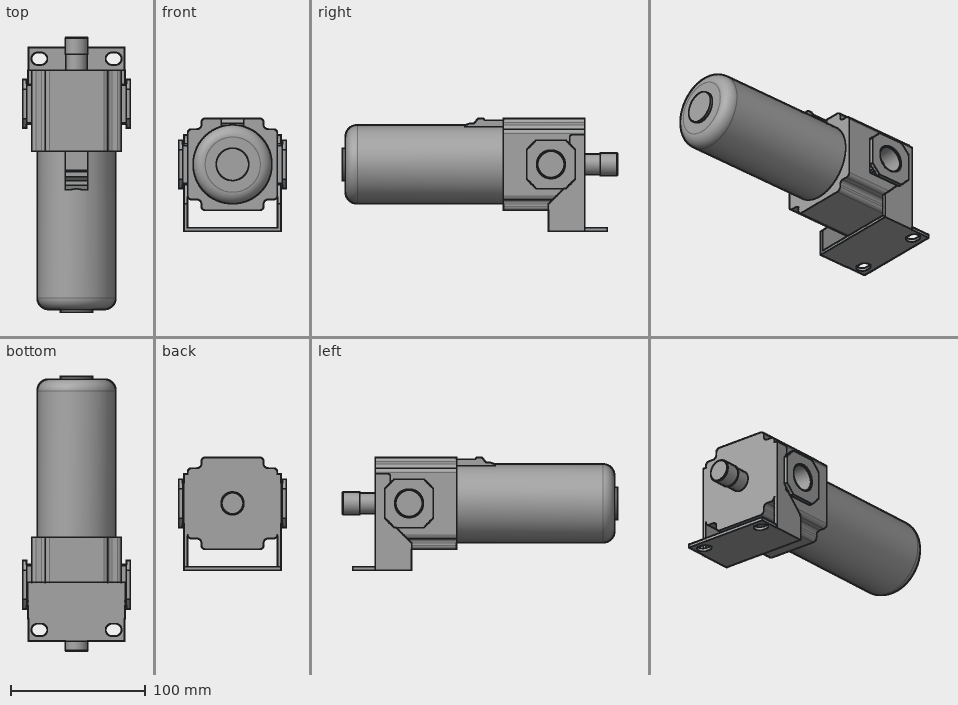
import cadquery as cq

total_length = 204.5
overall_width = 80.0
overall_height = 84.0
knob_back_y = 49.5
bowl_end_y = knob_back_y - total_length

body_back_y = 25.2
body_front_y = -35.4
body_width = 66.9
body_height = 68.5
body_length = body_back_y - body_front_y
raised_width = 46.5
shoulder_height = 52.5
body_edge_radius = 3.0

bowl_diameter = 58.7
bowl_edge_radius = 8.8
button_diameter = 24.1
button_height = 2.0

latch_width = 17.0
latch_top_z = 33.0
latch_ridge_z = body_height / 2
latch_step_z = 30.5
latch_tip_z = 29.0
latch_tip_y = -64.0
latch_ridge_start_y = -49.3
latch_ridge_end_y = -57.3
latch_rise_run = 1.2
latch_fall_run = 3.0
latch_step_end_y = -60.5

knob_diameter = 17.0
knob_length = 12.7
knob_chamfer = 0.6
stem_diameter = 15.7

flange_size = 36.2
flange_chamfer = 7.2
flange_thickness = 2.9
neck_size = 30.5
neck_chamfer = 1.2
bore_radius = 9.8
bore_depth = 16.4
bore_chamfer = 0.8

plate_thickness = 2.7
bracket_width = body_width + 2 * plate_thickness
bracket_bottom_z = body_height / 2 - overall_height
bracket_top_z = 21.9
tab_front_y = 14.1
leg_front_y = -1.8
leg_slope_z = -29.5
tab_corner_radius = 1.2
foot_width = 71.5
foot_back_y = 42.0
slot_length = 11.7
slot_width = 9.0
slot_x = 27.6
slot_y = 33.5


def cylinder(diameter, start_y, end_y):
    """Solid cylinder on the Y axis between two Y positions."""
    return cq.Workplane("XZ", origin=(0, start_y, 0)).circle(diameter / 2).extrude(start_y - end_y)


def make_body():
    section = cq.Workplane("XZ", origin=(0, body_back_y, 0))
    core = section.rect(body_width, shoulder_height).extrude(body_length)
    raised = section.rect(raised_width, body_height).extrude(body_length)
    return core.union(raised).edges("|Y").fillet(body_edge_radius)


def make_bowl():
    bowl_front_y = bowl_end_y + button_height
    bowl = cylinder(bowl_diameter, body_front_y, bowl_front_y)
    bowl = bowl.faces("<Y").edges().fillet(bowl_edge_radius)
    return bowl.union(cylinder(button_diameter, bowl_front_y, bowl_end_y))


def make_latch():
    profile = [
        (body_front_y, 0),
        (body_front_y, latch_top_z),
        (latch_ridge_start_y, latch_top_z),
        (latch_ridge_start_y - latch_rise_run, latch_ridge_z),
        (latch_ridge_end_y + latch_fall_run, latch_ridge_z),
        (latch_ridge_end_y, latch_step_z),
        (latch_step_end_y, latch_step_z),
        (latch_tip_y, latch_tip_z),
        (latch_tip_y, 0),
    ]
    return cq.Workplane("YZ").polyline(profile).close().extrude(latch_width / 2, both=True)


def make_knob():
    stem_back_y = knob_back_y - knob_length
    knob = cylinder(knob_diameter, knob_back_y, stem_back_y).faces(">Y").chamfer(knob_chamfer)
    return knob.union(cylinder(stem_diameter, stem_back_y, body_back_y))


def make_port():
    """Flanged port on the +X side."""
    flange_inner_x = overall_width / 2 - flange_thickness
    neck = cq.Workplane("YZ").rect(neck_size, neck_size).extrude(flange_inner_x)
    neck = neck.edges("|X").chamfer(neck_chamfer)
    flange = cq.Workplane("YZ", origin=(flange_inner_x, 0, 0)).rect(flange_size, flange_size)
    flange = flange.extrude(flange_thickness).edges("|X").chamfer(flange_chamfer)
    return neck.union(flange)


def make_bore():
    """Blind bore of the +X port with a chamfered mouth."""
    face_x = overall_width / 2
    bore = cq.Workplane("YZ", origin=(face_x, 0, 0)).circle(bore_radius).extrude(-bore_depth)
    mouth = cq.Workplane("YZ", origin=(face_x, 0, 0)).circle(bore_radius + bore_chamfer)
    mouth = mouth.workplane(offset=-bore_chamfer).circle(bore_radius).loft()
    return bore.union(mouth)


def make_bracket():
    neck_slope_z = leg_slope_z + tab_front_y - leg_front_y
    profile = [
        (body_back_y, bracket_bottom_z),
        (body_back_y, bracket_top_z),
        (tab_front_y, bracket_top_z),
        (tab_front_y, neck_slope_z),
        (leg_front_y, leg_slope_z),
        (leg_front_y, bracket_bottom_z),
    ]
    bracket = cq.Workplane("YZ").polyline(profile).close().extrude(bracket_width / 2, both=True)
    bracket = bracket.faces(">Z").edges("<Y").fillet(tab_corner_radius)
    inner_height = bracket_top_z - bracket_bottom_z
    opening = cq.Workplane("XY", origin=(0, 0, bracket_bottom_z + plate_thickness))
    opening = opening.rect(body_width, total_length).extrude(inner_height)

    foot = cq.Workplane("XY", origin=(0, 0, bracket_bottom_z))
    foot = foot.box(foot_width, foot_back_y, plate_thickness, centered=(True, False, False))
    slots = cq.Workplane("XY", origin=(0, 0, bracket_bottom_z))
    slots = slots.pushPoints([(-slot_x, slot_y), (slot_x, slot_y)])
    slots = slots.slot2D(slot_length, slot_width).extrude(plate_thickness)
    return bracket.cut(opening).union(foot).cut(slots)


port = make_port()
bore = make_bore()
result = (
    make_body()
    .union(make_bowl())
    .union(make_latch())
    .union(make_knob())
    .union(make_bracket())
    .union(port)
    .union(port.mirror("YZ"))
    .cut(bore)
    .cut(bore.mirror("YZ"))
)